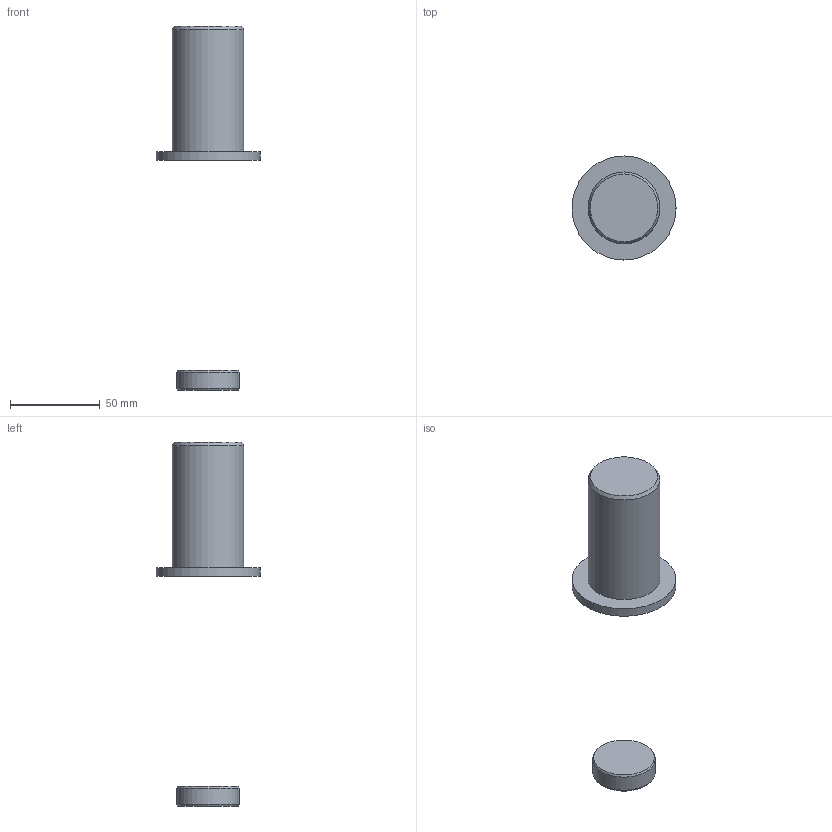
import cadquery as cq
import math

bevel_angle = 30.0

flange_diameter = 58.0
flange_thickness = 5.0
shank_diameter = 40.0
pin_height = 75.0
pin_bevel_height = 2.0

disc_diameter = 35.0
disc_thickness = 11.0
disc_bevel_height = 1.0
overall_height = 203.0
disc_bottom = pin_height - overall_height
disc_top = disc_bottom + disc_thickness


def bevel_inset(bevel_height):
    """Radial depth of a rim bevel of the given axial height."""
    return bevel_height * math.tan(math.radians(bevel_angle))


def revolve_profile(points):
    """Turn a closed half profile of (radius, Z) points about the Z axis."""
    return cq.Workplane("XZ").polyline(points).close().revolve(360, (0, 0, 0), (0, 1, 0))


def make_pin():
    """Flange and shank in one piece, with a bevelled lead-in at the shank tip."""
    flange_radius = flange_diameter / 2
    shank_radius = shank_diameter / 2
    return revolve_profile([
        (0, 0),
        (flange_radius, 0),
        (flange_radius, flange_thickness),
        (shank_radius, flange_thickness),
        (shank_radius, pin_height - pin_bevel_height),
        (shank_radius - bevel_inset(pin_bevel_height), pin_height),
        (0, pin_height),
    ])


def make_disc():
    """Plain round disc, bevelled on its upper and lower rims."""
    rim_radius = disc_diameter / 2
    face_radius = rim_radius - bevel_inset(disc_bevel_height)
    return revolve_profile([
        (0, disc_bottom),
        (face_radius, disc_bottom),
        (rim_radius, disc_bottom + disc_bevel_height),
        (rim_radius, disc_top - disc_bevel_height),
        (face_radius, disc_top),
        (0, disc_top),
    ])


pin = make_pin()
disc = make_disc()

result = cq.Compound.makeCompound([pin.val(), disc.val()])